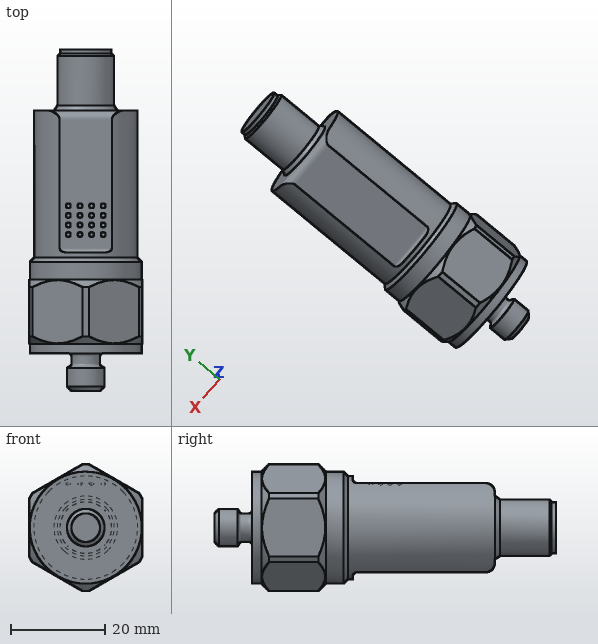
import cadquery as cq
import math

total_length = 72.5

stud_diameter = 8.0
stud_chamfer = 0.95
stud_cylinder_end = 4.9
neck_diameter = 6.1
flange_face_y = 8.0
neck_root_radius = 0.65
shoulder_fillet_radius = 0.5
shoulder_angle = math.radians(60)

flange_diameter = 23.8
hex_start_y = 10.0
hex_end_y = 23.6
hex_across_flats = 24.0
hex_corner_diameter = 27.0
collar_end_y = 27.4

body_diameter = 22.0
body_start_y = collar_end_y + (flange_diameter - body_diameter) / 2
body_end_y = 59.5
flat_height = 9.5
flat_start_y = 29.35
flat_root_radius = 0.9
flat_edge_radius = 2.0

flare_diameter = 13.5
flare_length = 1.1
connector_diameter = 12.0
connector_end_y = 71.55
connector_chamfer = 0.5
connector_tip_diameter = 10.9

dimple_diameter = 1.0
dimple_count = 4
dimple_pitch_x = 2.5
dimple_pitch_y = 2.0
dimple_grid_center_y = 36.25


def revolve_about_y(profile):
    """Turn a closed profile drawn as (radius, y) fully around the Y axis."""
    return profile.close().revolve(360, (0, 0, 0), (0, 1, 0))


def make_stud():
    stud_radius = stud_diameter / 2
    neck_radius = neck_diameter / 2

    fillet_rise = shoulder_fillet_radius * (1 - math.cos(shoulder_angle))
    fillet_length = shoulder_fillet_radius * math.sin(shoulder_angle)
    cone_length = (stud_radius - neck_radius - fillet_rise) / math.tan(shoulder_angle)
    fillet_start_y = stud_cylinder_end + cone_length
    neck_start_y = fillet_start_y + fillet_length
    half_angle = shoulder_angle / 2
    fillet_middle = (
        neck_radius + shoulder_fillet_radius * (1 - math.cos(half_angle)),
        neck_start_y - shoulder_fillet_radius * math.sin(half_angle),
    )

    root_offset = neck_root_radius * (1 - math.sqrt(0.5))
    root_middle = (neck_radius + root_offset, flange_face_y - root_offset)

    profile = (
        cq.Workplane("XY")
        .lineTo(stud_radius - stud_chamfer, 0)
        .lineTo(stud_radius, stud_chamfer)
        .lineTo(stud_radius, stud_cylinder_end)
        .lineTo(neck_radius + fillet_rise, fillet_start_y)
        .threePointArc(fillet_middle, (neck_radius, neck_start_y))
        .lineTo(neck_radius, flange_face_y - neck_root_radius)
        .threePointArc(root_middle, (neck_radius + neck_root_radius, flange_face_y))
        .lineTo(neck_radius + neck_root_radius, hex_start_y)
        .lineTo(0, hex_start_y)
    )
    return revolve_about_y(profile)


def make_flange_and_collar():
    flange_radius = flange_diameter / 2
    body_radius = body_diameter / 2
    profile = (
        cq.Workplane("XY")
        .moveTo(0, flange_face_y)
        .lineTo(flange_radius, flange_face_y)
        .lineTo(flange_radius, collar_end_y)
        .lineTo(body_radius, body_start_y)
        .lineTo(0, body_start_y)
    )
    return revolve_about_y(profile)


def make_hexagon():
    """Hexagon with flats facing +X and -X, its corners turned down and chamfered at 45 degrees."""
    hex_length = hex_end_y - hex_start_y
    corner_circle = hex_across_flats / math.cos(math.pi / 6)
    prism = (
        cq.Workplane("XZ", origin=(0, hex_start_y, 0))
        .transformed(rotate=(0, 0, 90))
        .polygon(6, corner_circle)
        .extrude(-hex_length)
    )
    chamfer = (hex_corner_diameter - flange_diameter) / 2
    envelope = (
        cq.Workplane("XZ", origin=(0, hex_start_y, 0))
        .circle(hex_corner_diameter / 2)
        .extrude(-hex_length)
        .edges()
        .chamfer(chamfer)
    )
    return prism.intersect(envelope)


def make_flat_cutter():
    """Material above the upper flat: rounded root at the collar end, rounded edge at the connector end."""
    top = body_diameter
    root_offset = flat_root_radius * (1 - math.sqrt(0.5))
    edge_offset = flat_edge_radius * (1 - math.sqrt(0.5))
    return (
        cq.Workplane("YZ")
        .moveTo(flat_start_y, top)
        .lineTo(flat_start_y, flat_height + flat_root_radius)
        .threePointArc(
            (flat_start_y + root_offset, flat_height + root_offset),
            (flat_start_y + flat_root_radius, flat_height),
        )
        .lineTo(body_end_y - flat_edge_radius, flat_height)
        .threePointArc(
            (body_end_y - edge_offset, flat_height - edge_offset),
            (body_end_y, flat_height - flat_edge_radius),
        )
        .lineTo(body_end_y, top)
        .close()
        .extrude(body_diameter / 2, both=True)
    )


def make_dimples():
    return (
        cq.Workplane("XY", origin=(0, dimple_grid_center_y, flat_height))
        .rarray(dimple_pitch_x, dimple_pitch_y, dimple_count, dimple_count)
        .sphere(dimple_diameter / 2)
    )


def make_body():
    cylinder = (
        cq.Workplane("XZ", origin=(0, body_start_y, 0))
        .circle(body_diameter / 2)
        .extrude(body_start_y - body_end_y)
    )
    upper_cutter = make_flat_cutter()
    lower_cutter = upper_cutter.mirror("XY")
    return cylinder.cut(upper_cutter).cut(lower_cutter).cut(make_dimples())


def make_connector():
    flare_radius = flare_diameter / 2
    connector_radius = connector_diameter / 2
    tip_radius = connector_tip_diameter / 2
    flare_end_y = body_end_y + flare_length
    profile = (
        cq.Workplane("XY")
        .moveTo(0, body_end_y)
        .lineTo(flare_radius, body_end_y)
        .lineTo(connector_radius, flare_end_y)
        .lineTo(connector_radius, connector_end_y - connector_chamfer)
        .lineTo(connector_radius - connector_chamfer, connector_end_y)
        .lineTo(tip_radius, connector_end_y)
        .lineTo(tip_radius, total_length)
        .lineTo(0, total_length)
    )
    return revolve_about_y(profile)


result = (
    make_stud()
    .union(make_flange_and_collar())
    .union(make_hexagon())
    .union(make_body())
    .union(make_connector())
)